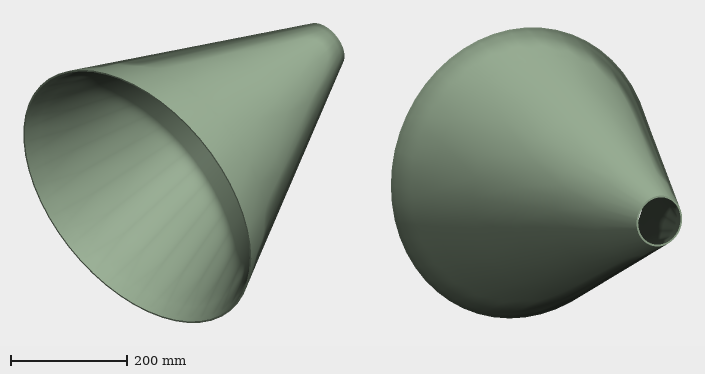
import cadquery as cq
import math

length = 508.0
wide_diameter = 508.0
narrow_diameter = 89.0
sheet_thickness = 3.0

wide_radius = wide_diameter / 2
narrow_radius = narrow_diameter / 2

half_angle = math.atan2(wide_radius - narrow_radius, length)
radial_thickness = sheet_thickness / math.cos(half_angle)

wall_section = (
    cq.Workplane("XY")
    .moveTo(wide_radius - radial_thickness, 0)
    .lineTo(wide_radius, 0)
    .lineTo(narrow_radius, length)
    .lineTo(narrow_radius - radial_thickness, length)
    .close()
)

result = wall_section.revolve(360, (0, 0, 0), (0, 1, 0))